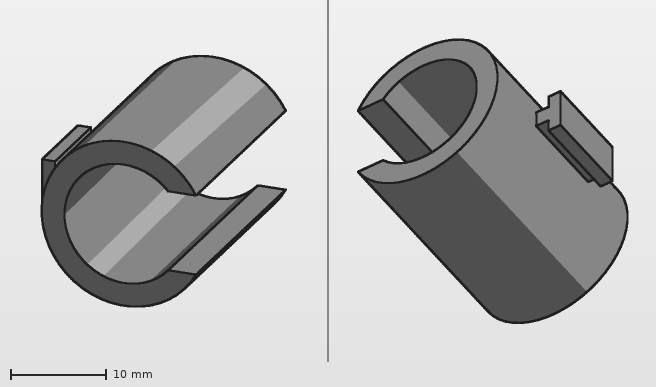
import cadquery as cq

length = 25.0
bore_diameter = 13.5
wall = 2.6
mouth_height = 9.0
outer_radius = bore_diameter / 2 + wall

rail_length = 10.0
head_thickness = 1.5
head_height = 5.0
stem_reach = 1.5
stem_height = 2.0


def block(x_start, x_end, y_size, z_size):
    """Box between two X positions, centred on Y and Z."""
    return cq.Workplane("XY").box(x_end - x_start, y_size, z_size).translate(
        ((x_start + x_end) / 2, 0, 0)
    )


def clip_sleeve():
    """Tube with a parallel-sided mouth open toward +X."""
    tube = (
        cq.Workplane("XZ")
        .circle(outer_radius)
        .circle(bore_diameter / 2)
        .extrude(length / 2, both=True)
    )
    return tube.cut(block(0, outer_radius + wall, length, mouth_height))


def rail():
    """Stem rooted in the sleeve wall, carrying a wider head."""
    head_inner_x = -outer_radius - stem_reach
    stem_root_x = -outer_radius + wall / 2
    stem = block(head_inner_x, stem_root_x, rail_length, stem_height)
    head = block(head_inner_x - head_thickness, head_inner_x, rail_length, head_height)
    return stem.union(head)


result = clip_sleeve().union(rail())